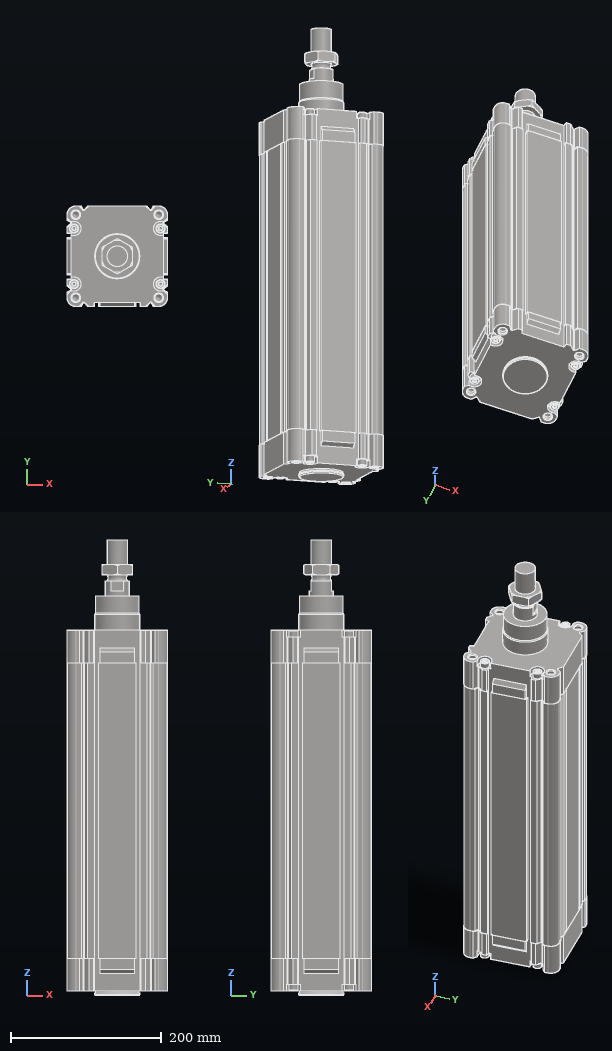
import cadquery as cq
import math

total_length = 605.0
rear_spigot_height = 6.0
cap_height = 43.5
tube_bottom = rear_spigot_height + cap_height
tube_top = 441.5
front_face = tube_top + cap_height
boss_shoulder = 506.0
boss_top = 530.5

side = 134.0
half_side = side / 2
tube_side = 133.0
corner_radius = 12.0
tube_corner_radius = corner_radius - (side - tube_side) / 2
tube_groove_depth = 5.5
cap_groove_depth = 6.0
recess_depth = 5.5

tube_groove_edges = (39.5, 48.0)
tube_groove_floor = (43.5, 45.0)
cap_groove_edges = (37.5, 50.0)
cap_groove_floor = (44.0, 45.5)

tube_slot_edges = (25.0, 30.0)

recess_mouth_half = 31.5
recess_floor_half = 30.0
pad_half_width = 23.0
pad_ramp_start = 14.5
pad_ramp_end = 20.0
recess_side_angles = (0, 90, -90)

corner_hole_offset = 55.0
corner_hole_diameter = 10.0
corner_hole_rim_diameter = 13.0
corner_hole_depth = 6.0
drill_point_angle = 118
screw_x = 57.5
screw_y = 37.0
screw_pocket_diameter = 19.0
screw_pocket_depth = 9.0
screw_head_diameter = 12.0
screw_head_height = 8.5
screw_head_chamfer = 0.9
socket_diameter = 4.9
socket_rim_diameter = 5.8
socket_depth = 2.5

boss_diameter = 58.0
collar_diameter = 60.0
shoulder_width = (collar_diameter - boss_diameter) / 2
shoulder_taper_height = 2.0
rear_rim_height = 3.5

rod_diameter = 32.0
thread_diameter = 27.0
neck_diameter = 25.0
rod_shoulder = 550.5
wrench_flat_bottom = 537.0

nut_bottom = 558.5
nut_height = 14.0
nut_across_flats = 40.5
nut_across_corners = nut_across_flats / math.cos(math.pi / 6)
nut_chamfer_diameter = 42.5
nut_chamfer_height = 1.5


def four_sides(tool):
    """Copies of a tool made for the -Y side, turned onto all four sides."""
    return [tool.rotate((0, 0, 0), (0, 0, 1), 90 * turn) for turn in range(4)]


def side_pair(points, height):
    """Prism of an (x, depth) outline on the -Y side, together with its mirror image in X."""
    outline = [(x, depth - half_side) for x, depth in points]
    prism = cq.Workplane("XY").polyline(outline).close().extrude(height)
    return prism, prism.mirror("YZ")


def square_bar(width, height, radius):
    return cq.Workplane("XY").rect(width, width).extrude(height).edges("|Z").fillet(radius)


def cut_grooves(body, edges, floor, depth, height):
    """Straight grooves along Z, two on each side, from their mouth and floor limits in X."""
    inner_edge, outer_edge = edges
    inner_floor, outer_floor = floor
    outline = [
        (inner_edge, 0),
        (inner_floor, depth),
        (outer_floor, depth),
        (outer_edge, 0),
    ]
    for tool in side_pair(outline, height):
        for turned_tool in four_sides(tool):
            body = body.cut(turned_tool)
    return body


def make_tube():
    height = tube_top - tube_bottom
    tube = square_bar(tube_side, height, tube_corner_radius)
    tube = cut_grooves(tube, tube_groove_edges, tube_groove_floor, tube_groove_depth, height)
    tube = cut_grooves(tube, tube_slot_edges, tube_slot_edges, tube_groove_depth, height)
    return tube.translate((0, 0, tube_bottom))


def cut_side_recesses(cap):
    """Tapered recesses that leave a ramped pad next to the tube."""
    floor_y = recess_depth - half_side
    tool = (
        cq.Workplane("XY")
        .moveTo(-recess_mouth_half, -half_side)
        .lineTo(recess_mouth_half, -half_side)
        .lineTo(recess_floor_half, floor_y)
        .lineTo(-recess_floor_half, floor_y)
        .close()
        .extrude(cap_height)
    )
    pad = (
        cq.Workplane("YZ")
        .moveTo(-half_side, 0)
        .lineTo(floor_y, 0)
        .lineTo(floor_y, pad_ramp_end)
        .lineTo(-half_side, pad_ramp_start)
        .close()
        .extrude(pad_half_width, both=True)
    )
    tool = tool.cut(pad)
    for angle in recess_side_angles:
        cap = cap.cut(tool.rotate((0, 0, 0), (0, 0, 1), angle))
    return cap


def hole_tool(rim_diameter, diameter, depth, top):
    """Blind hole below the given height, with a chamfered mouth and a drill point at the bottom."""
    radius = diameter / 2
    rim_radius = rim_diameter / 2
    rim_depth = rim_radius - radius
    tip_height = radius / math.tan(math.radians(drill_point_angle / 2))
    return (
        cq.Workplane("XZ")
        .moveTo(0, top)
        .lineTo(rim_radius, top)
        .lineTo(radius, top - rim_depth)
        .lineTo(radius, top - depth)
        .lineTo(0, top - depth - tip_height)
        .close()
        .revolve(360, (0, 0, 0), (0, 1, 0))
    )


def cut_corner_holes(cap):
    tool = hole_tool(corner_hole_rim_diameter, corner_hole_diameter, corner_hole_depth, cap_height)
    tool = tool.translate((corner_hole_offset, corner_hole_offset, 0))
    for turned_tool in four_sides(tool):
        cap = cap.cut(turned_tool)
    return cap


def make_screw_head():
    """Chamfered screw head on the Z axis with a round socket."""
    head = (
        cq.Workplane("XY")
        .circle(screw_head_diameter / 2)
        .extrude(screw_head_height)
        .faces(">Z")
        .chamfer(screw_head_chamfer)
    )
    return head.cut(hole_tool(socket_rim_diameter, socket_diameter, socket_depth, screw_head_height))


def make_screw_pocket():
    """U-shaped pocket about the Z axis, open towards +X."""
    round_end = cq.Workplane("XY").circle(screw_pocket_diameter / 2).extrude(screw_pocket_depth)
    open_end = (
        cq.Workplane("XY")
        .center(screw_pocket_diameter / 2, 0)
        .rect(screw_pocket_diameter, screw_pocket_diameter)
        .extrude(screw_pocket_depth)
    )
    return round_end.union(open_end)


def fit_screws(cap):
    """Four pockets open towards +X and -X, each holding a screw head that is part of the cap."""
    pocket = make_screw_pocket()
    head = make_screw_head()
    pocket_floor = cap_height - screw_pocket_depth
    for x, turn in ((screw_x, 0), (-screw_x, 180)):
        turned_pocket = pocket.rotate((0, 0, 0), (0, 0, 1), turn)
        for y in (screw_y, -screw_y):
            place = (x, y, pocket_floor)
            cap = cap.cut(turned_pocket.translate(place)).union(head.translate(place))
    return cap


def make_cap():
    """End cap with its tube side at Z = 0 and its outer face at the cap height."""
    cap = square_bar(side, cap_height, corner_radius)
    cap = cut_grooves(cap, cap_groove_edges, cap_groove_floor, cap_groove_depth, cap_height)
    cap = cut_side_recesses(cap)
    cap = cut_corner_holes(cap)
    return fit_screws(cap)


def make_front_boss():
    collar = (
        cq.Workplane("XY", origin=(0, 0, front_face))
        .circle(collar_diameter / 2)
        .extrude(boss_shoulder + shoulder_taper_height - front_face)
        .faces(">Z")
        .chamfer(shoulder_taper_height, shoulder_width)
    )
    boss = (
        cq.Workplane("XY", origin=(0, 0, front_face))
        .circle(boss_diameter / 2)
        .extrude(boss_top - front_face)
    )
    return collar.union(boss)


def make_rear_spigot():
    spigot = cq.Workplane("XY").circle(boss_diameter / 2).extrude(rear_spigot_height)
    rim = (
        cq.Workplane("XY")
        .circle(collar_diameter / 2)
        .extrude(rear_rim_height)
        .faces("<Z")
        .chamfer(shoulder_taper_height, shoulder_width)
    )
    return spigot.union(rim)


def make_housing():
    cap = make_cap()
    front_cap = cap.translate((0, 0, tube_top))
    rear_cap = cap.mirror("XY").translate((0, 0, tube_bottom))
    housing = make_tube().union(front_cap).union(rear_cap)
    return housing.union(make_front_boss()).union(make_rear_spigot())


def make_rod():
    """Rod standing on the boss, with a waisted neck below the nut and wrench flats on -Y and +Y."""
    rod_radius = rod_diameter / 2
    thread_radius = thread_diameter / 2
    neck_radius = neck_diameter / 2
    neck_middle = (rod_shoulder + nut_bottom) / 2
    rod = (
        cq.Workplane("XZ")
        .moveTo(0, boss_top)
        .lineTo(rod_radius, boss_top)
        .lineTo(rod_radius, rod_shoulder)
        .lineTo(thread_radius, rod_shoulder)
        .threePointArc((neck_radius, neck_middle), (thread_radius, nut_bottom))
        .lineTo(thread_radius, total_length)
        .lineTo(0, total_length)
        .close()
        .revolve(360, (0, 0, 0), (0, 1, 0))
    )
    flat_length = rod_shoulder - wrench_flat_bottom
    across_flats = thread_diameter
    outer_width = 2 * rod_diameter
    flats_cutter = (
        cq.Workplane("XY", origin=(0, 0, wrench_flat_bottom))
        .rect(outer_width, outer_width)
        .rect(rod_diameter, across_flats)
        .extrude(flat_length)
    )
    return rod.cut(flats_cutter)


def make_nut():
    """Hexagon nut with corners on the Y axis and both ends chamfered."""
    hexagon = (
        cq.Workplane("XY", origin=(0, 0, nut_bottom))
        .polygon(6, nut_across_corners)
        .extrude(nut_height)
        .rotate((0, 0, 0), (0, 0, 1), 90)
    )
    chamfer_width = (nut_across_corners - nut_chamfer_diameter) / 2
    envelope = (
        cq.Workplane("XY", origin=(0, 0, nut_bottom))
        .circle(nut_across_corners / 2)
        .extrude(nut_height)
        .faces("<Z or >Z")
        .chamfer(nut_chamfer_height, chamfer_width)
    )
    bore = (
        cq.Workplane("XY", origin=(0, 0, nut_bottom))
        .circle(thread_diameter / 2)
        .extrude(nut_height)
    )
    return hexagon.intersect(envelope).cut(bore)


housing = make_housing()
rod = make_rod()
nut = make_nut()

result = cq.Compound.makeCompound([housing.val(), rod.val(), nut.val()])